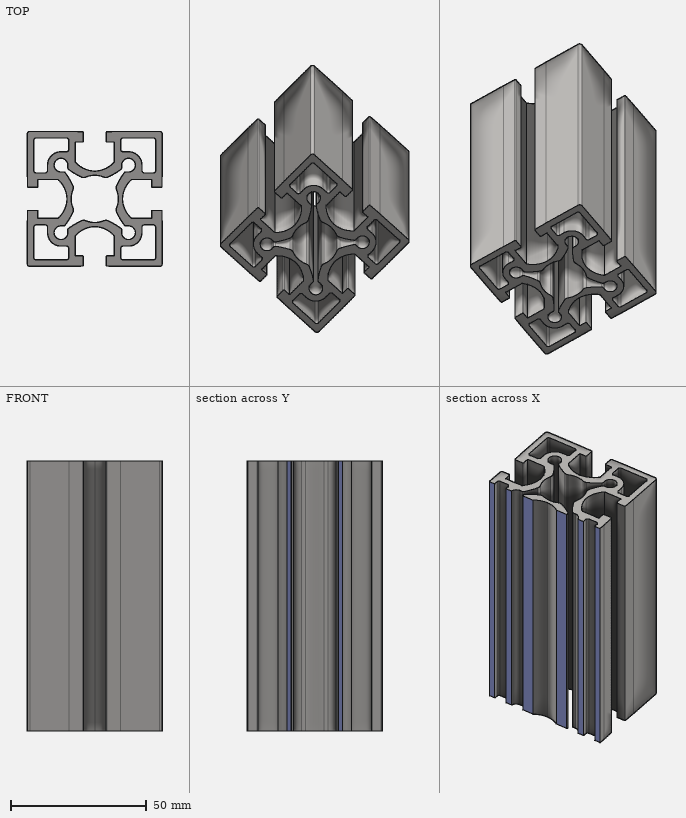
import cadquery as cq
import math

side = 50.0
length = 100.0
half_side = side / 2
corner_radius = 1.0

slot_opening = 8.5
slot_inner_width = 14.3
lip_thickness = 4.0
lip_relief_width = 19.2
lip_relief_depth = 0.1
lip_fillet = 0.35
slot_wall_height = 13.6
slot_floor_height = 10.3
slot_floor_radius = 10.0

wall = 2.5
cell_fillet = 0.8
tube_center = 12.5
tube_bore_radius = 2.5
tube_outer_radius = tube_bore_radius + wall

core_radius = 8.7
core_arc_half_width = 4.1
throat_edge = tube_center - tube_bore_radius
throat_height = 11.1
throat_bulge_point = (7.3, 9.3)
core_fillet = 2.0
throat_fillet = 0.8

slot_half = slot_inner_width / 2
cell_inner = slot_half + wall
cell_outer = half_side - wall


def four_around(solid):
    """Combine four copies of a solid turned about the profile axis."""
    turned = solid
    for step in range(1, 4):
        turned = turned.union(solid.rotate((0, 0, 0), (0, 0, 1), 90 * step))
    return turned


def nearest_offset(edge):
    """Distance of an upright edge from the nearer of the X and Y axes."""
    center = edge.Center()
    return min(abs(center.x), abs(center.y))


def farthest_offset(edge):
    """Distance of an upright edge from the farther of the X and Y axes."""
    center = edge.Center()
    return max(abs(center.x), abs(center.y))


def t_slot():
    """T-slot on the +Y side: tapered lips, opening, straight sides and a floor of two arcs."""
    opening_half = slot_opening / 2
    relief_half = lip_relief_width / 2
    lip_height = half_side - lip_thickness
    lip_top = half_side - lip_relief_depth
    return (
        cq.Workplane("XY")
        .moveTo(relief_half, half_side)
        .lineTo(opening_half, lip_top)
        .lineTo(opening_half, lip_height)
        .lineTo(slot_half, lip_height)
        .lineTo(slot_half, slot_wall_height)
        .radiusArc((0, slot_floor_height), slot_floor_radius)
        .radiusArc((-slot_half, slot_wall_height), slot_floor_radius)
        .lineTo(-slot_half, lip_height)
        .lineTo(-opening_half, lip_height)
        .lineTo(-opening_half, lip_top)
        .lineTo(-relief_half, half_side)
        .close()
        .extrude(length)
    )


def corner_cell():
    """Hollow cell in the +X +Y corner with rounded corners, wrapped around the outside of the tube."""
    tube_edge = tube_center + tube_outer_radius
    tube_diagonal = tube_center + tube_outer_radius * math.sqrt(0.5)
    outline = (
        cq.Workplane("XY")
        .moveTo(cell_inner, cell_outer)
        .lineTo(cell_outer, cell_outer)
        .lineTo(cell_outer, cell_inner)
        .lineTo(tube_edge, cell_inner)
        .lineTo(tube_edge, tube_center)
        .threePointArc((tube_diagonal, tube_diagonal), (tube_center, tube_edge))
        .lineTo(cell_inner, tube_edge)
        .close()
        .extrude(length)
    )
    arc_ends = [(tube_edge, tube_center), (tube_center, tube_edge)]
    sharp_edges = outline.edges("|Z").filter(
        lambda edge: all(math.dist(edge.Center().toTuple()[:2], end) > cell_fillet for end in arc_ends)
    )
    return sharp_edges.fillet(cell_fillet)


def tube_throat():
    """Tube bore in the +X +Y corner and the flared throat that opens it to the core."""
    core_arc_height = math.sqrt(core_radius**2 - core_arc_half_width**2)
    bore_diagonal = tube_center + tube_bore_radius * math.sqrt(0.5)
    bulge_x, bulge_y = throat_bulge_point
    return (
        cq.Workplane("XY")
        .lineTo(core_arc_half_width, core_arc_height)
        .threePointArc((bulge_x, bulge_y), (throat_edge, throat_height))
        .lineTo(throat_edge, tube_center)
        .threePointArc((bore_diagonal, bore_diagonal), (tube_center, throat_edge))
        .lineTo(throat_height, throat_edge)
        .threePointArc((bulge_y, bulge_x), (core_arc_height, core_arc_half_width))
        .close()
        .extrude(length)
    )


def core_cavity():
    """Round core joined to the four throats, with the ridges between them rounded."""
    cavity = cq.Workplane("XY").circle(core_radius).extrude(length).union(four_around(tube_throat()))
    ridges = cavity.edges("|Z").filter(lambda edge: math.isclose(nearest_offset(edge), core_arc_half_width))
    cavity = ridges.fillet(core_fillet)
    throat_corners = cavity.edges("|Z").filter(
        lambda edge: math.isclose(nearest_offset(edge), throat_edge)
        and math.isclose(farthest_offset(edge), throat_height)
    )
    return throat_corners.fillet(throat_fillet)


def is_lip_end(edge):
    """Tell whether an upright edge is one of the two corners at the end of a slot lip."""
    return math.isclose(nearest_offset(edge), slot_opening / 2)


bar = cq.Workplane("XY").rect(side, side).extrude(length).edges("|Z").fillet(corner_radius)
profile = (
    bar.cut(four_around(t_slot()))
    .cut(four_around(corner_cell()))
    .cut(core_cavity())
)
result = profile.edges("|Z").filter(is_lip_end).fillet(lip_fillet)